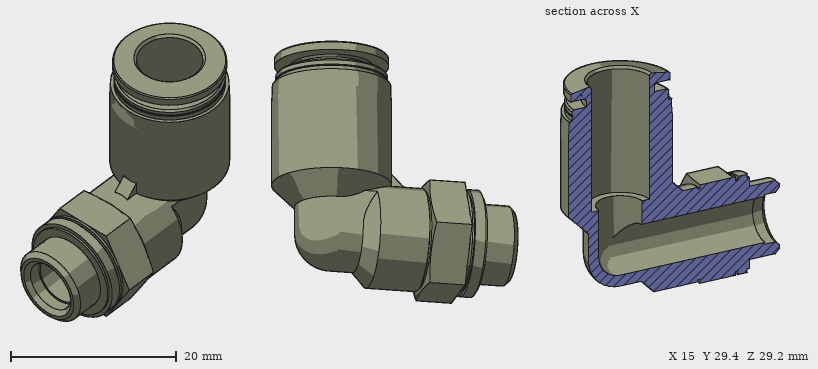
import cadquery as cq
import math

AXIS_Z = cq.Vector(0, 0, 1)
AXIS_STUD = cq.Vector(0, -1, 0)

ELBOW_RADIUS = 4.5
BORE_RADIUS = 6.0 / 2

SOCKET_RADIUS = 14.5 / 2
SOCKET_RIM_RADIUS = 7.15
SOCKET_BASE = 6.13
SOCKET_TAPER_START = 16.65
SOCKET_TOP = 18.67

COLLAR_RADIUS = 13.5 / 2
COLLAR_TOP = 20.13
COLLAR_CHAMFER = 0.23
COLLAR_GROOVE_HEIGHT = 19.25
COLLAR_GROOVE_WIDTH = 0.12
COLLAR_GROOVE_DEPTH = 0.12

RING_RADIUS = 13.8 / 2
RING_NECK_RADIUS = 9.5 / 2
RING_ROOT_CHAMFER = 0.25
RING_BOTTOM = 21.2
RING_EDGE = 22.13
RING_EDGE_CHAMFER = 0.15
RING_TOP = 22.7
RING_CROWN_RADIUS = 4.3
TUBE_RADIUS = 8.0 / 2
TUBE_LEAD_IN = RING_CROWN_RADIUS - TUBE_RADIUS

STUD_RADIUS = 12.5 / 2
STUD_CONE_START = 2.9
STUD_END = 10.77
HEX_FLATS = 13.0
HEX_START = 11.05
HEX_END = 15.67
HEX_CHAMFER_SLOPE = 15
STEP_RADIUS = 12.0 / 2
SEAL_RADIUS = HEX_FLATS / 2
WASHER_END = 16.0
SEAL_START = 16.32
SEAL_END = 17.65
STEP_END = 17.93
THREAD_RADIUS = 9.71 / 2
THREAD_CHAMFER = 0.6
STUD_TIP = 29.35 - SOCKET_RADIUS
MOUTH_RADIUS = 3.82
ENTRY_RADIUS = 6.5 / 2
ENTRY_DEPTH = 2.05

RIB_WIDTH = 2.05
RIB_TOP = 7.7
RIB_ROOT_DEPTH = 1.47


def revolve_about_socket(points):
    """Turn a closed (radius, height) outline about the socket axis."""
    return cq.Workplane("XZ").polyline(points).close().revolve(360, (0, 0), (0, 1))


def revolve_about_stud(points):
    """Turn a closed (radius, distance) outline about the stud axis."""
    outline = [(radius, -distance) for radius, distance in points]
    return cq.Workplane("XY").polyline(outline).close().revolve(360, (0, 0), (0, 1))


def cylinder(radius, length, direction):
    return cq.Workplane(cq.Solid.makeCylinder(radius, length, cq.Vector(), direction))


def round_elbow(radius, socket_length, stud_length):
    """Two cylinders meeting in a sphere at the crossing of the axes."""
    return (
        cq.Workplane().sphere(radius)
        .union(cylinder(radius, socket_length, AXIS_Z))
        .union(cylinder(radius, stud_length, AXIS_STUD))
    )


def elbow_web():
    """Flat-sided web that fills the inner corner under the socket."""
    depth = STUD_CONE_START + STUD_RADIUS - ELBOW_RADIUS
    slab = cq.Workplane().box(
        2 * ELBOW_RADIUS, depth, STUD_RADIUS, centered=(True, False, False)
    ).translate((0, -depth, 0))
    return slab.intersect(cylinder(STUD_RADIUS, depth, AXIS_STUD))


def socket():
    return revolve_about_socket([
        (0, SOCKET_BASE - (SOCKET_RADIUS - ELBOW_RADIUS)),
        (ELBOW_RADIUS, SOCKET_BASE - (SOCKET_RADIUS - ELBOW_RADIUS)),
        (SOCKET_RADIUS, SOCKET_BASE),
        (SOCKET_RADIUS, SOCKET_TAPER_START),
        (SOCKET_RIM_RADIUS, SOCKET_TOP),
        (0, SOCKET_TOP),
    ])


def collar():
    groove_radius = COLLAR_RADIUS - COLLAR_GROOVE_DEPTH
    groove_top = COLLAR_GROOVE_HEIGHT + COLLAR_GROOVE_WIDTH
    return revolve_about_socket([
        (0, SOCKET_TOP),
        (COLLAR_RADIUS, SOCKET_TOP),
        (COLLAR_RADIUS, COLLAR_GROOVE_HEIGHT),
        (groove_radius, COLLAR_GROOVE_HEIGHT),
        (groove_radius, groove_top),
        (COLLAR_RADIUS, groove_top),
        (COLLAR_RADIUS, COLLAR_TOP - COLLAR_CHAMFER),
        (COLLAR_RADIUS - COLLAR_CHAMFER, COLLAR_TOP),
        (0, COLLAR_TOP),
    ])


def release_ring():
    return revolve_about_socket([
        (0, COLLAR_TOP),
        (RING_NECK_RADIUS, COLLAR_TOP),
        (RING_NECK_RADIUS, RING_BOTTOM - RING_ROOT_CHAMFER),
        (RING_NECK_RADIUS + RING_ROOT_CHAMFER, RING_BOTTOM),
        (RING_RADIUS, RING_BOTTOM),
        (RING_RADIUS, RING_EDGE),
        (RING_RADIUS - RING_EDGE_CHAMFER, RING_EDGE + RING_EDGE_CHAMFER),
        (RING_CROWN_RADIUS, RING_TOP),
        (0, RING_TOP),
    ])


def stud():
    """Body, washer, seal and threaded end; the hexagon is added separately."""
    return revolve_about_stud([
        (0, STUD_CONE_START),
        (ELBOW_RADIUS, STUD_CONE_START),
        (STUD_RADIUS, STUD_CONE_START + STUD_RADIUS - ELBOW_RADIUS),
        (STUD_RADIUS, STUD_END),
        (STEP_RADIUS, STUD_END),
        (STEP_RADIUS, HEX_END),
        (SEAL_RADIUS, HEX_END),
        (SEAL_RADIUS, WASHER_END),
        (STEP_RADIUS, WASHER_END),
        (STEP_RADIUS, SEAL_START),
        (SEAL_RADIUS, SEAL_START),
        (SEAL_RADIUS, SEAL_END),
        (STEP_RADIUS, SEAL_END),
        (STEP_RADIUS, STEP_END),
        (THREAD_RADIUS, STEP_END),
        (THREAD_RADIUS, STUD_TIP - THREAD_CHAMFER),
        (THREAD_RADIUS - THREAD_CHAMFER, STUD_TIP),
        (0, STUD_TIP),
    ])


def hexagon():
    """Hexagon with corners on the X axis, its back corners turned down."""
    corner_radius = HEX_FLATS / 2 / math.cos(math.radians(30))
    chamfer_length = (corner_radius - HEX_FLATS / 2) * math.tan(math.radians(HEX_CHAMFER_SLOPE))
    prism = (
        cq.Workplane("XZ", origin=(0, -HEX_START, 0))
        .polygon(6, 2 * corner_radius)
        .extrude(HEX_END - HEX_START)
    )
    turned = revolve_about_stud([
        (0, HEX_START),
        (HEX_FLATS / 2, HEX_START),
        (corner_radius, HEX_START + chamfer_length),
        (corner_radius, HEX_END),
        (0, HEX_END),
    ])
    return prism.intersect(turned)


def corner_rib():
    """Small 45-degree rib between the socket wall and the stud body."""
    rib_base = STUD_RADIUS - RIB_ROOT_DEPTH
    rib_reach = SOCKET_RADIUS + RIB_TOP - rib_base
    outline = [
        (0, rib_base),
        (0, rib_base + rib_reach),
        (-rib_reach, rib_base),
    ]
    return cq.Workplane("YZ").polyline(outline).close().extrude(RIB_WIDTH / 2, both=True)


def tube_seat():
    return revolve_about_socket([
        (0, SOCKET_BASE),
        (TUBE_RADIUS, SOCKET_BASE),
        (TUBE_RADIUS, RING_TOP - TUBE_LEAD_IN),
        (RING_CROWN_RADIUS, RING_TOP),
        (0, RING_TOP),
    ])


def stud_entry():
    return revolve_about_stud([
        (0, STUD_TIP - ENTRY_DEPTH),
        (ENTRY_RADIUS, STUD_TIP - ENTRY_DEPTH),
        (ENTRY_RADIUS, STUD_TIP - (MOUTH_RADIUS - ENTRY_RADIUS)),
        (MOUTH_RADIUS, STUD_TIP),
        (0, STUD_TIP),
    ])


result = (
    round_elbow(ELBOW_RADIUS, SOCKET_BASE, STUD_END)
    .union(elbow_web())
    .union(socket())
    .union(collar())
    .union(release_ring())
    .union(stud())
    .union(hexagon())
    .union(corner_rib())
    .cut(round_elbow(BORE_RADIUS, RING_TOP, STUD_TIP))
    .cut(tube_seat())
    .cut(stud_entry())
)